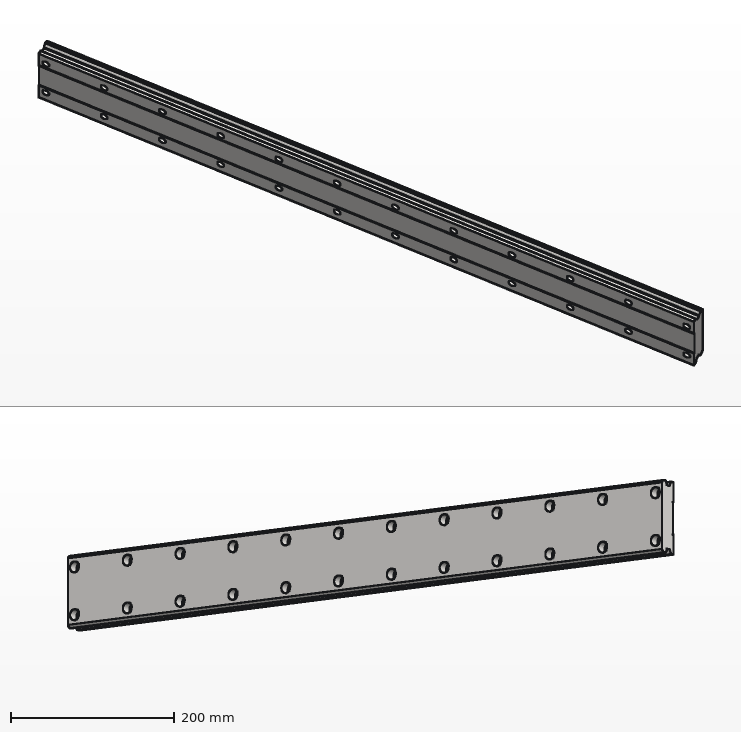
import cadquery as cq

length = 900.0
thickness = 24.0
height = 90.0

flange_edge = 5.0
groove_slope = 3.0
groove_floor = 5.85
groove_depth = 5.0

head_round_width = 4.0
head_round_drop = 4.0
head_round_radius = 7.0

relief_height = 40.5
relief_depth = 1.0

hole_diameter = 9.0
counterbore_diameter = 13.5
counterbore_depth = 13.5
holes_per_row = 12
row_count = 2
hole_end_margin = 10.0
row_spacing = 59.0

front = -thickness / 2
back = thickness / 2
top = height / 2
hole_pitch = (length - 2 * hole_end_margin) / (holes_per_row - 1)


def rail_body():
    """Draw the upper half of the cross-section, mirror it and extrude it along X."""
    flange_back = front + flange_edge
    floor_front = flange_back + groove_slope
    head_front = floor_front + groove_floor
    floor = top - groove_depth
    shoulder = top - head_round_drop
    upper_half = (
        cq.Workplane("YZ")
        .moveTo(front + relief_depth, 0)
        .lineTo(front + relief_depth, relief_height / 2)
        .lineTo(front, relief_height / 2)
        .lineTo(front, top)
        .lineTo(flange_back, top)
        .lineTo(floor_front, floor)
        .lineTo(head_front, floor)
        .lineTo(head_front, shoulder)
        .radiusArc((head_front + head_round_width, top), head_round_radius)
        .lineTo(back - head_round_width, top)
        .radiusArc((back, shoulder), head_round_radius)
        .lineTo(back, 0)
    )
    return upper_half.mirrorX().extrude(length / 2, both=True)


def hole_pattern(diameter, start, depth):
    """Cylinders at every mounting hole, running from y = start towards +Y."""
    return (
        cq.Workplane("XZ", origin=(0, start, 0))
        .rarray(hole_pitch, row_spacing, holes_per_row, row_count)
        .circle(diameter / 2)
        .extrude(-depth)
    )


mounting_holes = hole_pattern(hole_diameter, front, thickness)
counterbores = hole_pattern(counterbore_diameter, back - counterbore_depth, counterbore_depth)

result = rail_body().cut(mounting_holes).cut(counterbores)